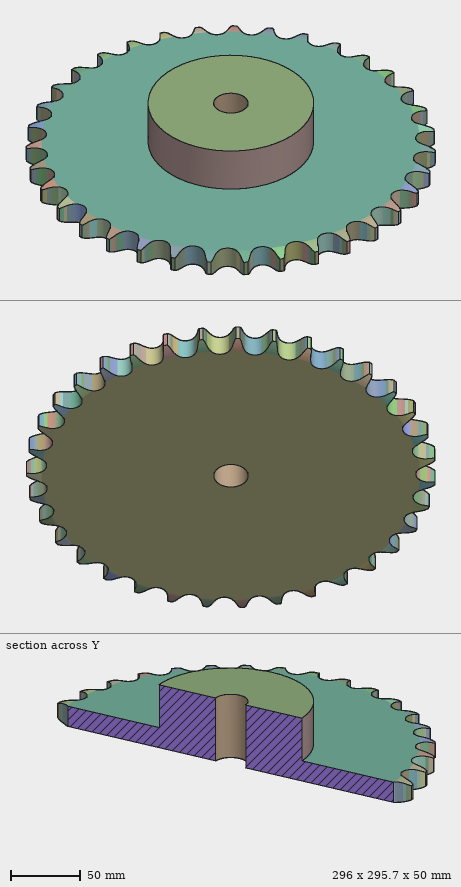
import cadquery as cq
import math

TOOTH_COUNT = 35
PITCH_RADIUS = 141.8
OVERALL_WIDTH = 296.0
TIP_HALF_ANGLE = 0.6
PLATE_THICKNESS = 16.3
TIP_RELIEF_DEPTH = 11.2
HUB_DIAMETER = 120.0
BORE_DIAMETER = 25.0
TOTAL_HEIGHT = 50.0

TOOTH_ANGLE = 360 / TOOTH_COUNT
TIP_TO_X_AXIS_ANGLE = TOOTH_ANGLE / 4 - TIP_HALF_ANGLE
TIP_RADIUS = OVERALL_WIDTH / 2 / math.cos(math.radians(TIP_TO_X_AXIS_ANGLE))
CHAIN_PITCH = 2 * PITCH_RADIUS * math.sin(math.radians(TOOTH_ANGLE / 2))
ROLLER_DIAMETER = 5 / 8 * CHAIN_PITCH
TIP_RELIEF_RADIUS = CHAIN_PITCH

SEAT_RADIUS = 0.505 * ROLLER_DIAMETER
WORKING_RADIUS = 1.305 * ROLLER_DIAMETER
SEAT_END_ANGLE = 35 + 60 / TOOTH_COUNT
WORKING_ARC_ANGLE = 18 - 56 / TOOTH_COUNT
TOPPING_START_ANGLE = 17 - 64 / TOOTH_COUNT
TOPPING_CENTRE_DISTANCE = 1.4 * ROLLER_DIAMETER
TOPPING_ARC_ANGLE = 45


def make_plate_blank():
    """Toothless disc whose rim curves inward on both faces."""
    relief_start = TIP_RADIUS - TIP_RELIEF_DEPTH
    full_angle = math.asin(TIP_RELIEF_DEPTH / TIP_RELIEF_RADIUS)

    def relief_point(angle):
        """Radius on the relief arc and its drop from the flat face."""
        radius = relief_start + TIP_RELIEF_RADIUS * math.sin(angle)
        drop = TIP_RELIEF_RADIUS * (1 - math.cos(angle))
        return radius, drop

    mid_radius, mid_drop = relief_point(full_angle / 2)
    _, tip_drop = relief_point(full_angle)
    profile = (
        cq.Workplane("XZ")
        .lineTo(relief_start, 0)
        .threePointArc((mid_radius, mid_drop), (TIP_RADIUS, tip_drop))
        .lineTo(TIP_RADIUS, PLATE_THICKNESS - tip_drop)
        .threePointArc((mid_radius, PLATE_THICKNESS - mid_drop), (relief_start, PLATE_THICKNESS))
        .lineTo(0, PLATE_THICKNESS)
        .close()
    )
    return profile.revolve(360, (0, 0, 0), (0, 1, 0))


def polar_offset(point, distance, angle):
    """Move a point by a distance in a direction given in degrees from +X."""
    x = point[0] + distance * math.cos(math.radians(angle))
    y = point[1] + distance * math.sin(math.radians(angle))
    return x, y


def mirrored(point):
    return -point[0], point[1]


def make_gap_cutter():
    """Prism for the tooth gap centred on +Y, with tangent arcs and a flat on each side."""
    flank_angle = WORKING_ARC_ANGLE - SEAT_END_ANGLE
    flank_length = (
        TOPPING_CENTRE_DISTANCE * math.sin(math.radians(TOPPING_START_ANGLE))
        - (WORKING_RADIUS - SEAT_RADIUS) * math.sin(math.radians(WORKING_ARC_ANGLE))
    )
    topping_radius = (
        TOPPING_CENTRE_DISTANCE * math.cos(math.radians(TOPPING_START_ANGLE))
        + (WORKING_RADIUS - SEAT_RADIUS) * math.cos(math.radians(WORKING_ARC_ANGLE))
        - WORKING_RADIUS
    )

    seat_centre = (0, PITCH_RADIUS)
    seat_bottom = polar_offset(seat_centre, SEAT_RADIUS, -90)
    seat_middle = polar_offset(seat_centre, SEAT_RADIUS, -(90 + SEAT_END_ANGLE) / 2)
    seat_end = polar_offset(seat_centre, SEAT_RADIUS, -SEAT_END_ANGLE)

    working_centre = polar_offset(seat_end, WORKING_RADIUS, 180 - SEAT_END_ANGLE)
    working_middle = polar_offset(working_centre, WORKING_RADIUS, (flank_angle - SEAT_END_ANGLE) / 2)
    working_end = polar_offset(working_centre, WORKING_RADIUS, flank_angle)

    flank_end = polar_offset(working_end, flank_length, flank_angle + 90)

    topping_centre = polar_offset(flank_end, topping_radius, flank_angle)
    topping_angle = flank_angle + 180
    topping_middle = polar_offset(topping_centre, topping_radius, topping_angle - TOPPING_ARC_ANGLE / 2)
    topping_end = polar_offset(topping_centre, topping_radius, topping_angle - TOPPING_ARC_ANGLE)

    return (
        cq.Workplane("XY")
        .moveTo(*seat_bottom)
        .threePointArc(seat_middle, seat_end)
        .threePointArc(working_middle, working_end)
        .lineTo(*flank_end)
        .threePointArc(topping_middle, topping_end)
        .lineTo(*mirrored(topping_end))
        .threePointArc(mirrored(topping_middle), mirrored(flank_end))
        .lineTo(*mirrored(working_end))
        .threePointArc(mirrored(working_middle), mirrored(seat_end))
        .threePointArc(mirrored(seat_middle), seat_bottom)
        .close()
        .extrude(PLATE_THICKNESS)
    )


def make_toothed_plate():
    """Plate with a tooth gap centred on +Y and a tooth centred on -Y."""
    plate = make_plate_blank()
    gap_cutter = make_gap_cutter()
    for index in range(TOOTH_COUNT):
        plate = plate.cut(gap_cutter.rotate((0, 0, 0), (0, 0, 1), index * TOOTH_ANGLE))
    return plate


hub = cq.Workplane("XY").circle(HUB_DIAMETER / 2).extrude(TOTAL_HEIGHT)
bore = cq.Workplane("XY").circle(BORE_DIAMETER / 2).extrude(TOTAL_HEIGHT)

result = make_toothed_plate().union(hub).cut(bore)